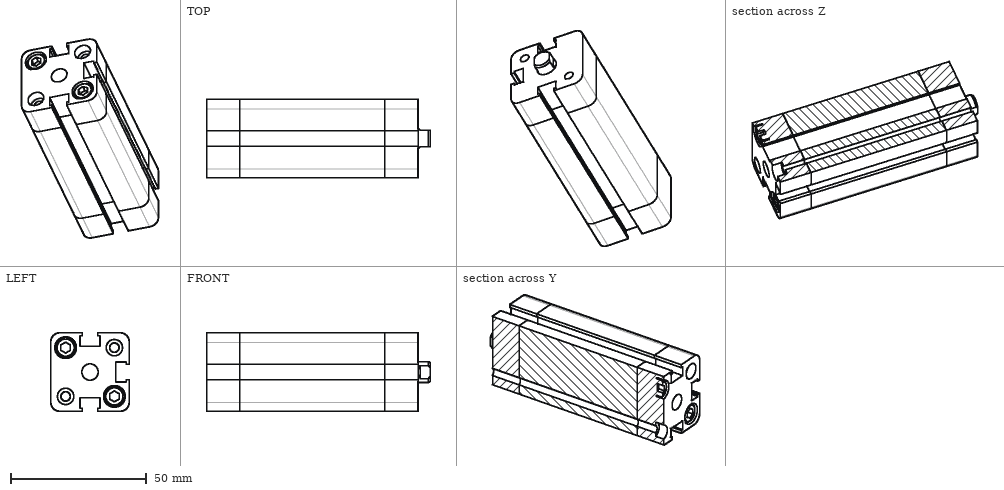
import cadquery as cq
import math


TOTAL_LENGTH = 82.5
SIDE = 29.0
CORNER_RADIUS = 3.5
CAP_LENGTH = 12.2
ROD_PROJECTION = 4.5

SLOT_DEPTH = 4.95
SLOT_OPENING = 5.7
SLOT_INNER_WIDTH = 7.35
SLOT_LIP = 1.2

HOLE_OFFSET = 9.0
MOUNT_BORE = 3.4
MOUNT_COUNTERBORE = 6.0
MOUNT_COUNTERBORE_DEPTH = 3.7
CENTRE_RECESS = 6.0
CENTRE_RECESS_DEPTH = 8.25

GROOVE_OUTER = 8.0
HEAD_DIAMETER = 7.5
HEAD_RECESS = 0.5
HEAD_CHAMFER = 0.6
GROOVE_DEPTH = 3.3
HEX_ACROSS_FLATS = 3.5
HEX_DEPTH = 2.5

ROD_DIAMETER = 7.75
ROD_ACROSS_FLATS = 6.1
TIP_CHAMFER_LENGTH = 0.75
TIP_CHAMFER_HEIGHT = 0.4

HALF_SIDE = SIDE / 2
HOUSING_LENGTH = TOTAL_LENGTH - ROD_PROJECTION
BARREL_LENGTH = HOUSING_LENGTH - 2 * CAP_LENGTH
BARREL_START = CAP_LENGTH
FRONT_CAP_START = BARREL_START + BARREL_LENGTH
MOUNT_POSITIONS = [(-HOLE_OFFSET, HOLE_OFFSET), (HOLE_OFFSET, -HOLE_OFFSET)]
SCREW_POSITIONS = [(HOLE_OFFSET, HOLE_OFFSET), (-HOLE_OFFSET, -HOLE_OFFSET)]
SLOT_ANGLES = [0, 90, 180]


def section_plane(x):
    """Workplane facing +X at the given x, with local axes along Y and Z."""
    return cq.Workplane("YZ", origin=(x, 0, 0))


def slot_cutter(start, length):
    """T-slot in the top side, running along X."""
    opening = (
        section_plane(start)
        .center(0, HALF_SIDE - SLOT_DEPTH / 2)
        .rect(SLOT_OPENING, SLOT_DEPTH)
        .extrude(length)
    )
    inner_height = SLOT_DEPTH - SLOT_LIP
    inner = (
        section_plane(start)
        .center(0, HALF_SIDE - SLOT_DEPTH + inner_height / 2)
        .rect(SLOT_INNER_WIDTH, inner_height)
        .extrude(length)
    )
    return opening.union(inner)


def profile_section(start, length):
    """Rounded square length of profile with three T-slots and the two mounting bores."""
    section = section_plane(start).rect(SIDE, SIDE).extrude(length)
    section = section.edges("|X").fillet(CORNER_RADIUS)
    slot = slot_cutter(start, length)
    for angle in SLOT_ANGLES:
        section = section.cut(slot.rotate((0, 0, 0), (1, 0, 0), angle))
    bores = section_plane(start).pushPoints(MOUNT_POSITIONS).circle(MOUNT_BORE / 2).extrude(length)
    return section.cut(bores)


def screw_recess():
    """Recess above and around one bevelled screw head, centred on the X axis."""
    outer = GROOVE_OUTER / 2
    head = HEAD_DIAMETER / 2
    return (
        cq.Workplane("XY")
        .moveTo(0, 0)
        .lineTo(0, outer)
        .lineTo(GROOVE_DEPTH, outer)
        .lineTo(GROOVE_DEPTH, head)
        .lineTo(HEAD_RECESS + HEAD_CHAMFER, head)
        .lineTo(HEAD_RECESS, head - HEAD_CHAMFER)
        .lineTo(HEAD_RECESS, 0)
        .close()
        .revolve(360, (0, 0, 0), (1, 0, 0))
    )


def hex_socket():
    """Hexagonal socket centred on the X axis, with corners pointing along Z."""
    across_corners = HEX_ACROSS_FLATS / math.cos(math.pi / 6)
    socket = section_plane(0).polygon(6, across_corners).extrude(HEAD_RECESS + HEX_DEPTH)
    return socket.rotate((0, 0, 0), (1, 0, 0), 90)


def build_rear_cap():
    cap = profile_section(0, CAP_LENGTH)
    counterbores = (
        section_plane(0)
        .pushPoints(MOUNT_POSITIONS)
        .circle(MOUNT_COUNTERBORE / 2)
        .extrude(MOUNT_COUNTERBORE_DEPTH)
    )
    centre_recess = section_plane(0).circle(CENTRE_RECESS / 2).extrude(CENTRE_RECESS_DEPTH)
    cap = cap.cut(counterbores).cut(centre_recess)
    for y, z in SCREW_POSITIONS:
        cap = cap.cut(screw_recess().translate((0, y, z)))
        cap = cap.cut(hex_socket().translate((0, y, z)))
    return cap


def build_rod():
    """Round rod end with a bevelled tip and two flats whose inner ends run out at 45 degrees."""
    radius = ROD_DIAMETER / 2
    flat = ROD_ACROSS_FLATS / 2
    runout = radius - flat
    rod = (
        cq.Workplane("XY")
        .moveTo(HOUSING_LENGTH, 0)
        .lineTo(HOUSING_LENGTH, radius)
        .lineTo(TOTAL_LENGTH - TIP_CHAMFER_LENGTH, radius)
        .lineTo(TOTAL_LENGTH, radius - TIP_CHAMFER_HEIGHT)
        .lineTo(TOTAL_LENGTH, 0)
        .close()
        .revolve(360, (0, 0, 0), (1, 0, 0))
    )
    flatted_envelope = (
        cq.Workplane("XY", origin=(0, 0, -radius))
        .moveTo(HOUSING_LENGTH, -radius)
        .lineTo(HOUSING_LENGTH + runout, -flat)
        .lineTo(TOTAL_LENGTH, -flat)
        .lineTo(TOTAL_LENGTH, flat)
        .lineTo(HOUSING_LENGTH + runout, flat)
        .lineTo(HOUSING_LENGTH, radius)
        .close()
        .extrude(ROD_DIAMETER)
    )
    return rod.intersect(flatted_envelope)


rear_cap = build_rear_cap()
barrel = profile_section(BARREL_START, BARREL_LENGTH)
front_cap = profile_section(FRONT_CAP_START, CAP_LENGTH)
piston_rod = build_rod()

result = cq.Compound.makeCompound(
    [rear_cap.val(), barrel.val(), front_cap.val(), piston_rod.val()]
)